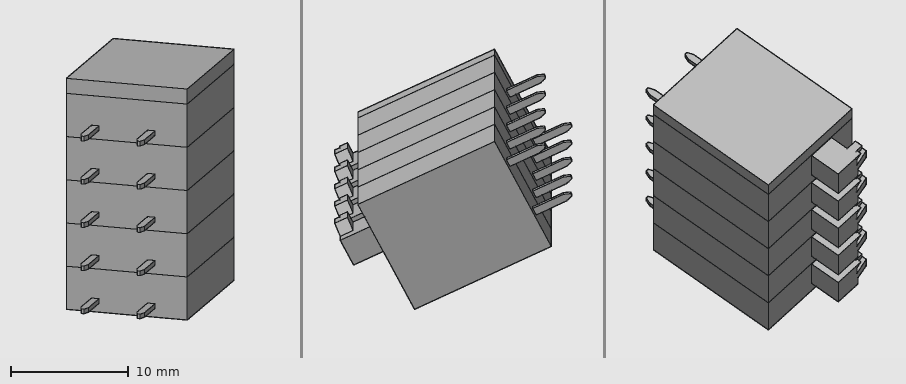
import cadquery as cq
import math

MODULE_COUNT = 5
MODULE_PITCH = 3.82
STACK_HEIGHT = 20.45
PLATE_THICKNESS = STACK_HEIGHT - MODULE_COUNT * MODULE_PITCH
BODY_WIDTH = 10.81
BODY_DEPTH = 13.0
FRONT_Y = -BODY_DEPTH / 2
BACK_Y = BODY_DEPTH / 2

PIN_LENGTH = 3.5
PIN_WIDTH = 0.67
PIN_THICKNESS = 0.4
PIN_SPACING = 5.0
PIN_ROW_CENTER_X = -0.3
PIN_CENTER_HEIGHT = 1.0
PIN_TIP_WIDTH = 0.25
PIN_TIP_LENGTH = 0.6

LEVER_LENGTH = 3.0
LEVER_HEIGHT = 2.74
LEVER_TOP_GAP = 0.08
LEVER_RIGHT_X = -0.18
STEM_WIDTH = 2.55
HOOK_OVERHANG = 1.06
HOOK_DEPTH = 1.23
HOOK_EDGE_HEIGHT = 1.25
HOOK_ROOT_HEIGHT = 1.85
NOTCH_WIDTH = 0.67
NOTCH_DROP = 0.3
NOTCH_DEPTH = 0.47
NOTCH_ANGLE = 34.0
NOTCH_REACH = 1.23

LEVER_TIP_Y = BACK_Y + LEVER_LENGTH
STEM_LEFT_X = LEVER_RIGHT_X - STEM_WIDTH
HOOK_LEFT_X = STEM_LEFT_X - HOOK_OVERHANG


def make_block(height, base_z):
    """Rectangular block with the common outline of the stack."""
    return cq.Workplane("XY", origin=(0, 0, base_z)).box(
        BODY_WIDTH, BODY_DEPTH, height, centered=(True, True, False)
    )


def make_pin(center_x, center_z):
    """Flat pin pointing forward, its tip narrowed by two straight tapers."""
    half_width = PIN_WIDTH / 2
    half_tip = PIN_TIP_WIDTH / 2
    tip_y = FRONT_Y - PIN_LENGTH
    shoulder_y = tip_y + PIN_TIP_LENGTH
    base_z = center_z - PIN_THICKNESS / 2
    return (
        cq.Workplane("XY", origin=(center_x, 0, base_z))
        .moveTo(-half_width, FRONT_Y)
        .lineTo(-half_width, shoulder_y)
        .lineTo(-half_tip, tip_y)
        .lineTo(half_tip, tip_y)
        .lineTo(half_width, shoulder_y)
        .lineTo(half_width, FRONT_Y)
        .close()
        .extrude(PIN_THICKNESS)
    )


def extrude_from_lever_tip(points, depth):
    """Prism with an XZ outline, running forward from the lever tip."""
    return cq.Workplane("XZ", origin=(0, LEVER_TIP_Y, 0)).polyline(points).close().extrude(depth)


def make_lever(top_z):
    """Stem with a hook to the left, sloped underneath and notched at its tip corner."""
    stem_bottom_z = top_z - LEVER_HEIGHT
    stem = extrude_from_lever_tip(
        [
            (STEM_LEFT_X, stem_bottom_z),
            (LEVER_RIGHT_X, stem_bottom_z),
            (LEVER_RIGHT_X, top_z),
            (STEM_LEFT_X, top_z),
        ],
        LEVER_LENGTH,
    )
    hook = extrude_from_lever_tip(
        [
            (STEM_LEFT_X, top_z),
            (HOOK_LEFT_X, top_z),
            (HOOK_LEFT_X, top_z - HOOK_EDGE_HEIGHT),
            (STEM_LEFT_X, top_z - HOOK_ROOT_HEIGHT),
        ],
        HOOK_DEPTH,
    )
    notch_end_x = HOOK_LEFT_X + NOTCH_REACH
    notch_slope = math.tan(math.radians(NOTCH_ANGLE))
    notch = extrude_from_lever_tip(
        [
            (HOOK_LEFT_X, top_z),
            (HOOK_LEFT_X + NOTCH_WIDTH, top_z),
            (notch_end_x, top_z - (NOTCH_REACH - NOTCH_WIDTH) * notch_slope),
            (notch_end_x, top_z - NOTCH_DROP - NOTCH_REACH * notch_slope),
            (HOOK_LEFT_X, top_z - NOTCH_DROP),
        ],
        NOTCH_DEPTH,
    )
    return stem.union(hook).cut(notch)


def make_module(base_z):
    """One terminal module: block, two pins and a lever."""
    module = make_block(MODULE_PITCH, base_z)
    for side in (-1, 1):
        pin_x = PIN_ROW_CENTER_X + side * PIN_SPACING / 2
        module = module.union(make_pin(pin_x, base_z + PIN_CENTER_HEIGHT))
    return module.union(make_lever(base_z + MODULE_PITCH - LEVER_TOP_GAP))


modules = [make_module(index * MODULE_PITCH) for index in range(MODULE_COUNT)]
end_plate = make_block(PLATE_THICKNESS, MODULE_COUNT * MODULE_PITCH)

result = cq.Compound.makeCompound([*[module.val() for module in modules], end_plate.val()])